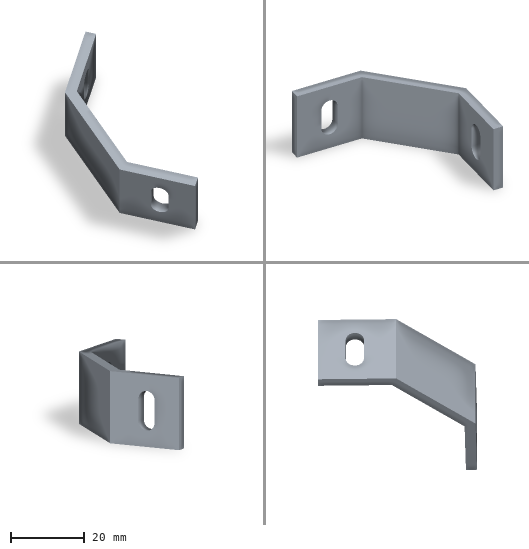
import cadquery as cq
import math

total_width = 60.0
base_width = 29.95
height = 20.0
thickness = 3.0
arm_angle = 45.0
slot_width = 5.0
slot_length = 11.0

angle = math.radians(arm_angle)
arm_run = (total_width - base_width) / 2
arm_rise = arm_run * math.tan(angle)
arm_length = arm_run / math.cos(angle)
inner_corner_shift = thickness * math.tan(angle / 2)
tip_shift_x = thickness * math.sin(angle)
tip_shift_y = thickness * math.cos(angle)
slot_offset = (arm_length + inner_corner_shift) / 2


def bent_plate():
    """Base plate with two sloping arms of equal thickness."""
    right_side = [
        (base_width / 2, 0),
        (total_width / 2, arm_rise),
        (total_width / 2 - tip_shift_x, arm_rise + tip_shift_y),
        (base_width / 2 - inner_corner_shift, thickness),
    ]
    left_side = [(-x, y) for x, y in reversed(right_side)]
    return cq.Workplane("XY").polyline(right_side + left_side).close().extrude(height)


def arm_slot(side):
    """Upright slot cutter, square to the arm on the given side (1 right, -1 left)."""
    center = (
        side * (base_width / 2 + slot_offset * math.cos(angle)),
        slot_offset * math.sin(angle),
        height / 2,
    )
    outward = (side * math.sin(angle), -math.cos(angle), 0)
    slot_plane = cq.Plane(origin=center, xDir=(0, 0, 1), normal=outward)
    return cq.Workplane(slot_plane).slot2D(slot_length, slot_width).extrude(2 * thickness, both=True)


result = bent_plate()
for side in (-1, 1):
    result = result.cut(arm_slot(side))